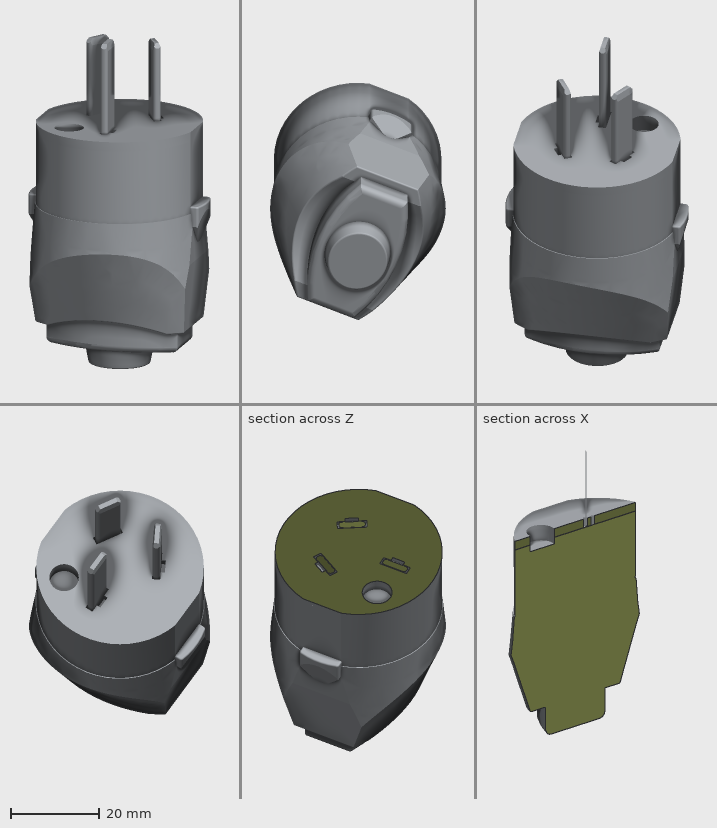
import cadquery as cq
import math

clamp_bottom_z = 4.6
housing_bottom_z = 9.9
arch_top_z = 13.1
grip_break_z = 26.0
ridge_top_z = 30.2
shoulder_z = 37.4
seam_z = 54.4
face_z = 56.6
side_pin_top_z = 74.55
earth_pin_top_z = 77.5

barrel_radius = 19.0
barrel_half_width = 18.4

outer_depth = 39.6
ridge_half_depth = outer_depth / 2
flare_angle = 5.0
flare_slope = math.tan(math.radians(flare_angle))
grip_half_width = 18.8
grip_end_half_width = 17.6
lobe_angle = 18.0
lobe_slope = math.tan(math.radians(lobe_angle))
lobe_half_width = 19.4
lobe_back_y = -46.5
lobe_drop = 7.1
lobe_upper_right_drop = 10.5
lobe_half_depth = ridge_half_depth - lobe_slope * ridge_top_z
arch_half_width = 13.95
grip_end_fillet = 0.4

clamp_half_width = 15.6
clamp_half_depth = 9.5
clamp_side_half_depth = 5.7
clamp_overlap = 0.8
clamp_fillet = 1.6
sleeve_end_x = 7.05
sleeve_end_y = 6.7
sleeve_root_x = 7.9
sleeve_root_y = 7.45
sleeve_fillet = 0.4

clip_top_z = 39.05
clip_shoulder_z = 34.4
clip_ramp_z = 37.4
clip_tip_z = 29.75
clip_tip_start_z = 30.9
clip_tip_half_width = 2.2
clip_half_width = 4.95
clip_reach = 20.85
clip_edge_reach = 20.1
clip_root_x = 17.8
clip_corner_fillet = 0.7
clip_top_fillet = 0.4

pin_width = 6.1
pin_thickness = 1.8
pin_edge_radius = 0.8
pin_tip_height = 1.55
pin_tip_bevel = 0.35
pin_tip_end_height = 1.0
pin_tip_end_run = 0.85
side_pin_x = 6.75
side_pin_y = 5.0
side_pin_angle = 30.0
earth_pin_y = -9.2
slot_length = 6.7
slot_width = 1.85
notch_length = 2.95
notch_width = 0.9
hole_x = -9.1
hole_radius = 3.3
hole_depth = 3.9

contacts = [
    (-side_pin_x, side_pin_y, -side_pin_angle, side_pin_top_z, -1),
    (side_pin_x, side_pin_y, side_pin_angle, side_pin_top_z, 1),
    (0, earth_pin_y, 0, earth_pin_top_z, 1),
]


def make_barrel(bottom_z, top_z):
    """Round barrel with a flat on each X side."""
    height = top_z - bottom_z
    round_part = cq.Workplane("XY").workplane(offset=bottom_z).circle(barrel_radius).extrude(height)
    flats = (
        cq.Workplane("XY")
        .workplane(offset=bottom_z)
        .rect(2 * barrel_half_width, 2 * barrel_radius)
        .extrude(height)
    )
    return round_part.intersect(flats)


def make_lobe_outline(z, right_drop):
    """Closed level outline behind the bowed face on the +Y side at height z."""
    crown_y = lobe_half_depth + lobe_slope * z
    return (
        cq.Workplane("XY")
        .workplane(offset=z)
        .moveTo(-lobe_half_width, crown_y - lobe_drop)
        .threePointArc((0, crown_y), (lobe_half_width, crown_y - right_drop))
        .lineTo(lobe_half_width, lobe_back_y)
        .lineTo(-lobe_half_width, lobe_back_y)
        .close()
        .val()
    )


def make_lobe_limit():
    """Region behind the sloping face on the +Y side, which leans in towards +X as it rises."""
    lower = make_lobe_outline(housing_bottom_z, lobe_drop)
    upper = make_lobe_outline(shoulder_z, lobe_upper_right_drop)
    return cq.Workplane(cq.Solid.makeLoft([lower, upper], True))


def make_grip():
    """Flared lower part: cone, flat sides, two sloping faces and an arched end."""
    shoulder_radius = ridge_half_depth - flare_slope * (shoulder_z - ridge_top_z)
    end_radius = ridge_half_depth + flare_slope * (ridge_top_z - housing_bottom_z)
    grip = (
        cq.Workplane("XZ")
        .moveTo(0, housing_bottom_z)
        .lineTo(end_radius, housing_bottom_z)
        .lineTo(shoulder_radius, shoulder_z)
        .lineTo(0, shoulder_z)
        .close()
        .revolve(360, (0, 0, 0), (0, 1, 0))
    )
    side_profile = (
        cq.Workplane("XZ")
        .moveTo(-grip_half_width, shoulder_z)
        .lineTo(-grip_half_width, grip_break_z)
        .lineTo(-grip_end_half_width, housing_bottom_z)
        .lineTo(-arch_half_width, housing_bottom_z)
        .threePointArc((0, arch_top_z), (arch_half_width, housing_bottom_z))
        .lineTo(grip_end_half_width, housing_bottom_z)
        .lineTo(grip_half_width, grip_break_z)
        .lineTo(grip_half_width, shoulder_z)
        .close()
        .extrude(2 * end_radius, both=True)
    )
    lobe = make_lobe_limit()
    grip = grip.intersect(side_profile).intersect(lobe).intersect(lobe.mirror("XZ"))
    end_faces = cq.selectors.BoxSelector(
        (-grip_half_width, -ridge_half_depth, clamp_bottom_z),
        (grip_half_width, ridge_half_depth, arch_top_z),
    )
    grip_end_middle = (arch_half_width + grip_end_half_width) / 2
    rim = grip.faces(end_faces).edges().filter(
        lambda edge: edge.geomType() != "LINE" or abs(edge.Center().x) > grip_end_middle
    )
    return rim.fillet(grip_end_fillet)


def make_clamp():
    """Cord clamp collar: flat sides, bowed faces, rounded lower rim."""
    return (
        cq.Workplane("XY")
        .workplane(offset=clamp_bottom_z)
        .moveTo(-clamp_half_width, -clamp_side_half_depth)
        .threePointArc((0, -clamp_half_depth), (clamp_half_width, -clamp_side_half_depth))
        .lineTo(clamp_half_width, clamp_side_half_depth)
        .threePointArc((0, clamp_half_depth), (-clamp_half_width, clamp_side_half_depth))
        .close()
        .extrude(arch_top_z - clamp_bottom_z + clamp_overlap)
        .faces("<Z")
        .edges()
        .fillet(clamp_fillet)
    )


def make_sleeve():
    """Oval cable sleeve, narrowing towards its end."""
    return (
        cq.Workplane("XY")
        .ellipse(sleeve_end_x, sleeve_end_y)
        .workplane(offset=clamp_bottom_z)
        .ellipse(sleeve_root_x, sleeve_root_y)
        .loft()
        .faces("<Z")
        .edges()
        .fillet(sleeve_fillet)
    )


def make_clip():
    """Clip on the +X side: bowed outer face, ramp below, rounded V-shaped tip."""
    block = (
        cq.Workplane("XY")
        .workplane(offset=clip_tip_z)
        .moveTo(clip_root_x, -clip_half_width)
        .lineTo(clip_edge_reach, -clip_half_width)
        .threePointArc((clip_reach, 0), (clip_edge_reach, clip_half_width))
        .lineTo(clip_root_x, clip_half_width)
        .close()
        .extrude(clip_top_z - clip_tip_z)
        .edges("|Z and (not <X)")
        .fillet(clip_corner_fillet)
        .faces(">Z")
        .edges("not <X")
        .fillet(clip_top_fillet)
    )
    shield = (
        cq.Workplane("YZ")
        .moveTo(-clip_half_width, clip_top_z)
        .lineTo(-clip_half_width, clip_shoulder_z)
        .lineTo(-clip_tip_half_width, clip_tip_start_z)
        .threePointArc((0, clip_tip_z), (clip_tip_half_width, clip_tip_start_z))
        .lineTo(clip_half_width, clip_shoulder_z)
        .lineTo(clip_half_width, clip_top_z)
        .close()
        .extrude(clip_reach)
    )
    ramp = (
        cq.Workplane("XZ")
        .moveTo(0, clip_tip_z)
        .lineTo(grip_half_width, clip_tip_z)
        .lineTo(clip_reach, clip_ramp_z)
        .lineTo(clip_reach, clip_top_z)
        .lineTo(0, clip_top_z)
        .close()
        .extrude(clip_half_width, both=True)
    )
    return block.intersect(shield).intersect(ramp)


def make_hole():
    """Round hole through the cover plate into the housing."""
    return (
        cq.Workplane("XY")
        .workplane(offset=face_z - hole_depth)
        .center(hole_x, earth_pin_y)
        .circle(hole_radius)
        .extrude(hole_depth)
    )


def make_housing():
    clip = make_clip()
    housing = make_grip().union(make_barrel(shoulder_z, seam_z)).union(make_clamp()).union(make_sleeve())
    housing = housing.union(clip).union(clip.mirror("YZ"))
    return housing.cut(make_hole())


def make_slot(x, y, angle, notch_side):
    """Slot for one contact pin, with a notch beside the middle of the pin."""
    depth = face_z - seam_z
    reach = slot_width / 2 + notch_width
    slot = cq.Workplane("XY").rect(slot_width, slot_length).extrude(depth)
    notch = cq.Workplane("XY").center(notch_side * reach / 2, 0).rect(reach, notch_length).extrude(depth)
    return slot.union(notch).rotate((0, 0, 0), (0, 0, 1), angle).translate((x, y, seam_z))


def make_cover():
    cover = make_barrel(seam_z, face_z).cut(make_hole())
    for x, y, angle, _, notch_side in contacts:
        cover = cover.cut(make_slot(x, y, angle, notch_side))
    return cover


def make_beveled_profile(plane, size, depth, bevel_run, bevel_height, height):
    """Upright bar with both upper corners of its outline beveled."""
    half = size / 2
    return (
        cq.Workplane(plane)
        .moveTo(-half, 0)
        .lineTo(-half, height - bevel_height)
        .lineTo(bevel_run - half, height)
        .lineTo(half - bevel_run, height)
        .lineTo(half, height - bevel_height)
        .lineTo(half, 0)
        .close()
        .extrude(depth, both=True)
    )


def make_pin(x, y, angle, top_z):
    """Flat contact pin with rounded long edges and a beveled tip, standing on the housing."""
    height = top_z - seam_z
    bar = cq.Workplane("XY").rect(pin_thickness, pin_width).extrude(height)
    bar = bar.edges("|Z").fillet(pin_edge_radius)
    broad = make_beveled_profile("YZ", pin_width, pin_thickness, pin_tip_end_run, pin_tip_end_height, height)
    narrow = make_beveled_profile("XZ", pin_thickness, pin_width, pin_tip_bevel, pin_tip_height, height)
    pin = bar.intersect(broad).intersect(narrow)
    return pin.rotate((0, 0, 0), (0, 0, 1), angle).translate((x, y, seam_z))


housing = make_housing()
cover = make_cover()
pins = [make_pin(x, y, angle, top_z) for x, y, angle, top_z, _ in contacts]

result = cq.Compound.makeCompound([housing.val(), cover.val(), *[pin.val() for pin in pins]])